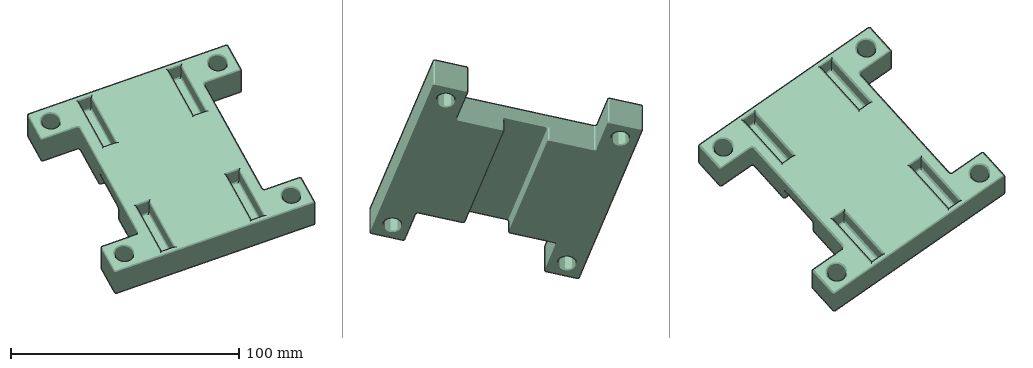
import cadquery as cq

side = 96.0
thickness = 16.0
edge_radius = 1.0

leg_width = 16.0
leg_reach = 18.0
notch_width = side - 2 * leg_width

hole_diameter = 8.0
hole_offset = (side - leg_width) / 2

channel_width = 20.0
channel_depth = 8.0

pocket_length = 27.0
pocket_width = 6.0
pocket_depth = 8.0
pocket_side_wall = 3.0
pocket_x = side / 2 - pocket_side_wall - pocket_length / 2
pocket_y = 21.5


def mirrored_points(x, y):
    """Four positions mirrored about the X and Y centre lines."""
    return [(sign_x * x, sign_y * y) for sign_x in (-1, 1) for sign_y in (-1, 1)]


def make_body():
    """H-shaped plate with an underside channel and every edge rounded."""
    plate = cq.Workplane("XY").rect(side, side).extrude(thickness)
    notches = (
        cq.Workplane("XY")
        .pushPoints([(0, -side / 2), (0, side / 2)])
        .rect(notch_width, 2 * leg_reach)
        .extrude(thickness)
    )
    channel = cq.Workplane("XY").rect(channel_width, side).extrude(channel_depth)
    return plate.cut(notches).cut(channel).edges().fillet(edge_radius)


def make_holes():
    """Cylinders to remove from the legs."""
    return (
        cq.Workplane("XY")
        .pushPoints(mirrored_points(hole_offset, hole_offset))
        .circle(hole_diameter / 2)
        .extrude(thickness)
    )


def make_pockets():
    """Blocks to remove from the top face: sharp upright corners, rounded floor edges."""
    return (
        cq.Workplane("XY")
        .workplane(offset=thickness - pocket_depth)
        .pushPoints(mirrored_points(pocket_x, pocket_y))
        .rect(pocket_length, pocket_width)
        .extrude(pocket_depth)
        .faces("<Z")
        .edges()
        .fillet(edge_radius)
    )


def round_rims(body):
    """Round the mouth of every hole and pocket, found as the inner outlines of flat faces."""
    rims = []
    for face in body.faces("|Z").vals():
        for outline in face.innerWires():
            rims.extend(outline.Edges())
    return body.newObject(rims).fillet(edge_radius)


result = round_rims(make_body().cut(make_holes()).cut(make_pockets()))